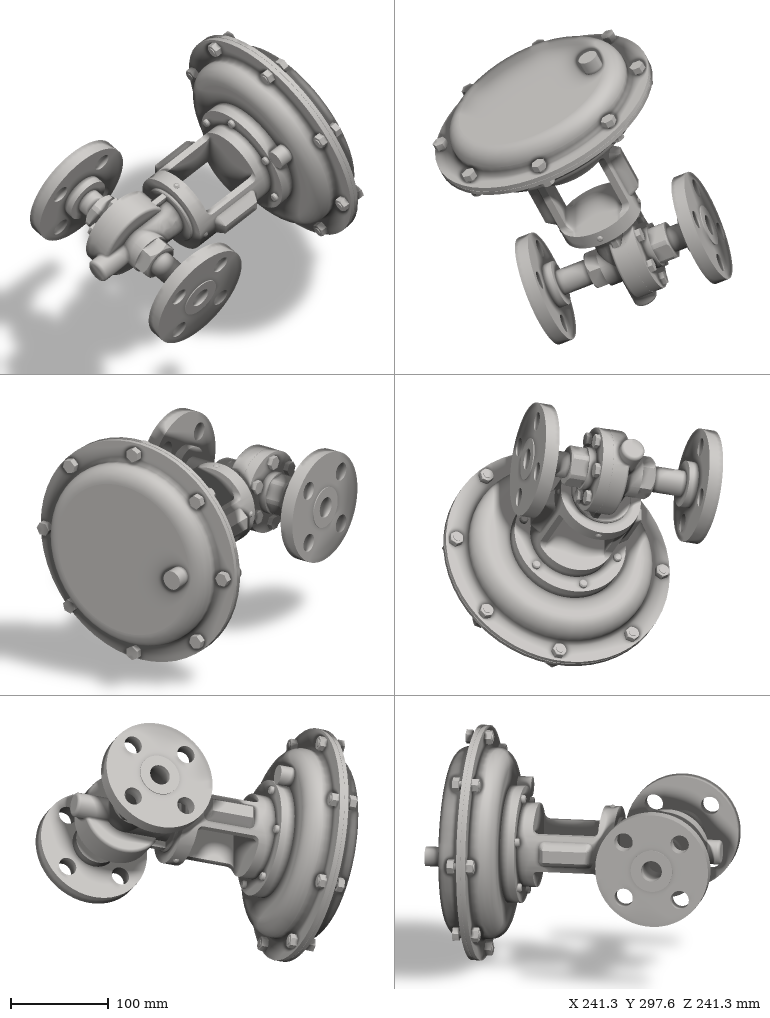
import cadquery as cq
import math


FLANGE_R = 58.65
FLANGE_BACK_X = 80.9
FLANGE_FRONT_X = 95.5
RAISED_FACE_X = 96.5
RAISED_FACE_R = 21.6
HUB_R = 23.8
HUB_X = 71.0
FLANGE_HOLE_R = 9.5
FLANGE_HOLE_CIRCLE_R = 41.2
FLANGE_HOLE_COUNT = 4
PIPE_R = 13.35
PIPE_BORE_R = 10.8

HEX_FLATS = 38.0
UNION_ROUND_R = 20.7
UNION_X = (-54.3, -36.5)
UNION_CHAMFER = 1.6
COLLAR_R = 22.0
COVER_X = (-28.6, -17.1)
COVER_R = 43.2
BODY_R = 43.4
BODY_END_X = 0.8
BODY_EDGE_FILLET = 3.0
TUBE_R = 21.9
OUTLET_HEX_X = (21.7, 36.5)
OUTLET_HEX_CHAMFER = 3.2
COVER_BOLT_COUNT = 6
COVER_BOLT_CIRCLE_R = 33.5
COVER_BOLT_FLATS = 12.7
COVER_BOLT_HEIGHT = 5.3
DRAIN_R = 12.5
DRAIN_END_Y = -55.6
DRAIN_FILLET = 3.2
DRAIN_ROOT_FILLET = 1.9
NOTCH_FLOOR_Y = 31.8
NOTCH_FLOOR_X = -11.5
NOTCH_TOP_Y = 39.0
NOTCH_LIP_Y = 34.9

NECK_HALF_X = 20.4
NECK_BLOCK_X = (-14.7, -4.2)
NECK_BLOCK_HALF_Z = 29.0
NECK_BEVEL_X = -10.0
NECK_BEVEL_HALF_Z = 21.0
BONNET_R = 32.0
BONNET_Y = 47.4
BONNET_CHAMFER = 1.0

YOKE_R = 43.2
YOKE_BOTTOM_Y = 50.3
WINDOW_Y = (66.2, 134.2)
CAVITY_FLOOR_Y = 65.8
CAVITY_HALF_X = 31.6
CAVITY_FILLET = 8.0
LEG_HALF_Z = 19.1
LEG_FILLET = 6.0
PAD_X = 52.5
PAD_ROOT_X = 38.0
PAD_LENGTH = 44.5
PAD_WIDTH = 12.6
PAD_TAPER = 31.0
PAD_CENTER_Y = 99.0
SET_SCREW_Y = 57.5
SET_SCREW_R = 3.3
SET_SCREW_TIP_R = 45.0
SET_SCREW_CHAMFER = 1.6
SET_SCREW_COUNT = 4

HUB_PLATE_R = 60.0
HUB_PLATE_Y = 149.5
CASING_FRONT_Y = 164.1
CASING_MID_Y = 194.0
CASING_HALF_DEPTH = CASING_MID_Y - CASING_FRONT_Y
FRONT_CASING_R = 98.2
REAR_CASING_R = 98.8
CASING_CORNER_R = 16.6
CASING_ROOT_FILLET = 3.8
RIM_R = 120.65
RIM_HALF_THICKNESS = 4.7
DIAPHRAGM_R = 120.2
DIAPHRAGM_THICKNESS = 1.0
FRONT_PORT_R = 10.0
FRONT_PORT_OFFSET = 49.5
REAR_PORT_R = 10.1
REAR_PORT_X = -70.0
REAR_PORT_END_Y = 238.91
HUB_SCREW_COUNT = 6
HUB_SCREW_CIRCLE_R = 52.3
HUB_SCREW_START_ANGLE = 45.0
HUB_SCREW_R = 4.3
HUB_SCREW_HEIGHT = 4.1
HUB_SCREW_CHAMFER = 1.1
RIM_BOLT_COUNT = 8
RIM_BOLT_CIRCLE_R = 111.0
RIM_BOLT_R = 4.0
RIM_BOLT_FLATS = 13.0
RIM_BOLT_HEAD_Y = (202.5, 209.2)
RIM_NUT_Y = (182.1, CASING_MID_Y - RIM_HALF_THICKNESS)
RIM_NUT_CHAMFER = 1.0
RIM_BOLT_TIP_Y = 181.2

OVERLAP = 1.0
HEX_HALF_STEP = 30


def corners(flats):
    """Across-corners size of a hexagon from its across-flats size."""
    return flats / math.cos(math.radians(HEX_HALF_STEP))


def cylinder_x(radius, x0, x1, y=0, z=0):
    return cq.Workplane("YZ", origin=(x0, y, z)).circle(radius).extrude(x1 - x0)


def hexagon_x(flats, x0, x1, y=0, z=0):
    """Hexagonal prism along X with corners toward +Y and -Y."""
    return cq.Workplane("YZ", origin=(x0, y, z)).polygon(6, corners(flats)).extrude(x1 - x0)


def cylinder_y(radius, y0, y1, x=0, z=0):
    return cq.Workplane("XZ", origin=(x, y1, z)).circle(radius).extrude(y1 - y0)


def hexagon_y(flats, y0, y1, x=0, z=0):
    """Hexagonal prism along Y with corners toward +X and -X."""
    return cq.Workplane("XZ", origin=(x, y1, z)).polygon(6, corners(flats)).extrude(y1 - y0)


def polar_x(radius, count, start):
    """(y, z) places on a circle about the X axis."""
    angles = [math.radians(start + 360 * i / count) for i in range(count)]
    return [(radius * math.cos(a), radius * math.sin(a)) for a in angles]


def around_y(piece, count, start):
    """Copies of a piece turned about the Y axis, counter-clockwise seen from -Y."""
    return [piece.rotate((0, 0, 0), (0, 1, 0), -(start + 360 * i / count)) for i in range(count)]


def pipe_flange():
    """Flange with hub and raised face on the +X side."""
    flange = cylinder_x(FLANGE_R, FLANGE_BACK_X, FLANGE_FRONT_X)
    flange = flange.union(cylinder_x(HUB_R, HUB_X, FLANGE_FRONT_X))
    flange = flange.union(cylinder_x(RAISED_FACE_R, FLANGE_BACK_X, RAISED_FACE_X))
    for y, z in polar_x(FLANGE_HOLE_CIRCLE_R, FLANGE_HOLE_COUNT, 180 / FLANGE_HOLE_COUNT):
        flange = flange.cut(cylinder_x(FLANGE_HOLE_R, FLANGE_BACK_X, FLANGE_FRONT_X, y, z))
    return flange


def union_nut():
    """Inlet hexagon whose corners are turned down to a round."""
    x0, x1 = UNION_X
    turned = cylinder_x(UNION_ROUND_R, x0, x1).faces("<X").chamfer(UNION_CHAMFER)
    return hexagon_x(HEX_FLATS, x0, x1).intersect(turned)


def outlet_hexagon():
    x0, x1 = OUTLET_HEX_X
    turned = cylinder_x(corners(HEX_FLATS) / 2, x0, x1).faces(">X").chamfer(OUTLET_HEX_CHAMFER)
    return hexagon_x(HEX_FLATS, x0, x1).intersect(turned)


def body_notch():
    """Clearance cut in the body above its flat floor, with a raised lip at the body's end."""
    lip_x = BODY_END_X - BODY_EDGE_FILLET
    return (
        cq.Workplane("XY")
        .moveTo(COVER_X[1], BODY_R + OVERLAP)
        .lineTo(COVER_X[1], NOTCH_TOP_Y)
        .lineTo(NOTCH_FLOOR_X, NOTCH_FLOOR_Y)
        .lineTo(lip_x, NOTCH_FLOOR_Y)
        .lineTo(lip_x, NOTCH_LIP_Y)
        .lineTo(BODY_END_X, NOTCH_LIP_Y)
        .lineTo(BODY_END_X, BODY_R + OVERLAP)
        .close()
        .extrude(BODY_R, both=True)
    )


def with_drain_boss(body):
    """Adds the closed drain boss on the -Y side, blended into the body around its root."""
    boss = cylinder_y(DRAIN_R, DRAIN_END_Y, 0).faces("<Y").edges().fillet(DRAIN_FILLET)
    root_zone = cq.selectors.BoxSelector(
        (-DRAIN_R - OVERLAP, DRAIN_END_Y + DRAIN_FILLET + OVERLAP, -DRAIN_R - OVERLAP),
        (DRAIN_R + OVERLAP, -OVERLAP, DRAIN_R + OVERLAP),
        boundingbox=True,
    )
    return body.union(boss).edges(root_zone).fillet(DRAIN_ROOT_FILLET)


def neck_block():
    """Upright block on the inlet side of the neck, with two beveled corners."""
    right_x = NECK_BLOCK_X[1]
    left_x = NECK_BLOCK_X[0]
    return (
        cq.Workplane("XZ", origin=(0, BONNET_Y + OVERLAP, 0))
        .moveTo(right_x, NECK_BLOCK_HALF_Z)
        .lineTo(NECK_BEVEL_X, NECK_BLOCK_HALF_Z)
        .lineTo(left_x, NECK_BEVEL_HALF_Z)
        .lineTo(left_x, -NECK_BEVEL_HALF_Z)
        .lineTo(NECK_BEVEL_X, -NECK_BLOCK_HALF_Z)
        .lineTo(right_x, -NECK_BLOCK_HALF_Z)
        .close()
        .extrude(BONNET_Y + OVERLAP - NOTCH_FLOOR_Y + OVERLAP)
    )


def neck():
    """Stem neck: slightly oval and as wide as the outlet tube, backed by the beveled block."""
    height = BONNET_Y + OVERLAP
    start_x = NECK_BLOCK_X[0]
    oval = cq.Workplane("XZ", origin=(0, height, 0)).ellipse(NECK_HALF_X, TUBE_R).extrude(height)
    keep = cq.Workplane("XY").box(
        NECK_HALF_X - start_x, height, 2 * TUBE_R, centered=(False, False, True)
    )
    return oval.intersect(keep.translate((start_x, 0, 0))).union(neck_block())


def valve_body():
    body = cylinder_x(BODY_R, COVER_X[1], BODY_END_X).faces(">X").edges().fillet(BODY_EDGE_FILLET)
    body = body.union(cylinder_x(TUBE_R, COVER_X[1], OUTLET_HEX_X[0]))
    body = with_drain_boss(body)
    body = body.cut(body_notch())
    body = body.union(cylinder_x(COVER_R, *COVER_X))
    body = body.union(cylinder_x(COLLAR_R, UNION_X[1], COVER_X[1]))
    body = body.union(union_nut()).union(outlet_hexagon())
    for y, z in polar_x(COVER_BOLT_CIRCLE_R, COVER_BOLT_COUNT, 180 / COVER_BOLT_COUNT):
        head_x = COVER_X[0] - COVER_BOLT_HEIGHT
        body = body.union(hexagon_x(COVER_BOLT_FLATS, head_x, COVER_X[0] + OVERLAP, y, z))
    return body.union(neck())


def piping():
    """Both pipes and flanges, bored up to the body hexagons."""
    outlet = pipe_flange().union(cylinder_x(PIPE_R, OUTLET_HEX_X[1] - OVERLAP, FLANGE_FRONT_X))
    outlet = outlet.cut(cylinder_x(PIPE_BORE_R, OUTLET_HEX_X[1], RAISED_FACE_X))
    inlet = pipe_flange().mirror("YZ")
    inlet = inlet.union(cylinder_x(PIPE_R, -FLANGE_FRONT_X, UNION_X[0] + OVERLAP))
    inlet = inlet.cut(cylinder_x(PIPE_BORE_R, -RAISED_FACE_X, UNION_X[0]))
    return outlet.union(inlet)


def yoke_cavity():
    """Open space between the two legs, rounded along its floor."""
    height = WINDOW_Y[1] - CAVITY_FLOOR_Y
    return (
        cq.Workplane("XY")
        .center(0, CAVITY_FLOOR_Y + height / 2)
        .rect(2 * CAVITY_HALF_X, height)
        .extrude(YOKE_R, both=True)
        .edges("|Z and <Y")
        .fillet(CAVITY_FILLET)
    )


def leg_side_cut():
    """Removes the +Z side of the yoke outside the legs, rounded where the legs meet the rings."""
    floor_y, roof_y = WINDOW_Y
    return (
        cq.Workplane("XY")
        .box(2 * YOKE_R, roof_y - floor_y, YOKE_R, centered=(True, False, False))
        .edges("|X and <Z")
        .fillet(LEG_FILLET)
        .translate((0, floor_y, LEG_HALF_Z))
    )


def mounting_pad():
    """Tapered pad on the outside of the +X leg."""
    return (
        cq.Workplane("YZ", origin=(PAD_X, PAD_CENTER_Y, 0))
        .rect(PAD_LENGTH, PAD_WIDTH)
        .extrude(PAD_ROOT_X - PAD_X, taper=-PAD_TAPER)
    )


def set_screw():
    return cylinder_x(SET_SCREW_R, CAVITY_HALF_X, SET_SCREW_TIP_R, SET_SCREW_Y).faces(">X").chamfer(
        SET_SCREW_CHAMFER
    )


def yoke():
    frame = cylinder_y(YOKE_R, YOKE_BOTTOM_Y, HUB_PLATE_Y + OVERLAP)
    frame = frame.cut(yoke_cavity())
    frame = frame.cut(leg_side_cut()).cut(leg_side_cut().mirror("XY"))
    frame = frame.union(mounting_pad()).union(mounting_pad().mirror("YZ"))
    bonnet = cylinder_y(BONNET_R, BONNET_Y, YOKE_BOTTOM_Y + OVERLAP)
    frame = frame.union(bonnet.faces("<Y").chamfer(BONNET_CHAMFER))
    for screw in around_y(set_screw(), SET_SCREW_COUNT, 0):
        frame = frame.union(screw)
    return frame


def casing_half(wall_r):
    """Front casing half: a dished cover with a rounded corner and an outward rim, revolved about Y."""
    straight_end = RIM_HALF_THICKNESS + CASING_ROOT_FILLET
    corner_start = CASING_HALF_DEPTH - CASING_CORNER_R
    diagonal = math.sqrt(0.5)
    root_center_r = wall_r + CASING_ROOT_FILLET
    corner_center_r = wall_r - CASING_CORNER_R
    profile = (
        cq.Workplane("XY")
        .lineTo(DIAPHRAGM_R, 0)
        .lineTo(DIAPHRAGM_R, -DIAPHRAGM_THICKNESS / 2)
        .lineTo(RIM_R, -DIAPHRAGM_THICKNESS / 2)
        .lineTo(RIM_R, -RIM_HALF_THICKNESS)
        .lineTo(root_center_r, -RIM_HALF_THICKNESS)
        .threePointArc(
            (
                root_center_r - CASING_ROOT_FILLET * diagonal,
                CASING_ROOT_FILLET * diagonal - straight_end,
            ),
            (wall_r, -straight_end),
        )
        .lineTo(wall_r, -corner_start)
        .threePointArc(
            (
                corner_center_r + CASING_CORNER_R * diagonal,
                -corner_start - CASING_CORNER_R * diagonal,
            ),
            (corner_center_r, -CASING_HALF_DEPTH),
        )
        .lineTo(0, -CASING_HALF_DEPTH)
        .close()
    )
    return profile.revolve(360, (0, 0, 0), (0, 1, 0))


def rim_bolt():
    """Bolt, standing-off head and nut at the +X side of the rim."""
    x = RIM_BOLT_CIRCLE_R
    bolt = cylinder_y(RIM_BOLT_R, RIM_BOLT_TIP_Y, RIM_BOLT_HEAD_Y[1], x)
    bolt = bolt.union(hexagon_y(RIM_BOLT_FLATS, *RIM_BOLT_HEAD_Y, x))
    nut = hexagon_y(RIM_BOLT_FLATS, *RIM_NUT_Y).rotate((0, 0, 0), (0, 1, 0), HEX_HALF_STEP)
    turned = cylinder_y(corners(RIM_BOLT_FLATS) / 2, *RIM_NUT_Y).faces("<Y").chamfer(RIM_NUT_CHAMFER)
    return bolt.union(nut.intersect(turned).translate((x, 0, 0)))


def hub_screw():
    tip_y = HUB_PLATE_Y - HUB_SCREW_HEIGHT
    screw = cylinder_y(HUB_SCREW_R, tip_y, HUB_PLATE_Y + OVERLAP, HUB_SCREW_CIRCLE_R)
    return screw.faces("<Y").chamfer(HUB_SCREW_CHAMFER)


def actuator():
    rear = casing_half(REAR_CASING_R).mirror("XZ")
    unit = casing_half(FRONT_CASING_R).union(rear).translate((0, CASING_MID_Y, 0))
    unit = unit.union(cylinder_y(HUB_PLATE_R, HUB_PLATE_Y, CASING_FRONT_Y + OVERLAP))
    front_port = cylinder_y(
        FRONT_PORT_R, HUB_PLATE_Y, CASING_FRONT_Y + OVERLAP, FRONT_PORT_OFFSET, FRONT_PORT_OFFSET
    )
    unit = unit.union(front_port)
    unit = unit.union(cylinder_y(REAR_PORT_R, CASING_MID_Y, REAR_PORT_END_Y, REAR_PORT_X))
    for bolt in around_y(rim_bolt(), RIM_BOLT_COUNT, 0):
        unit = unit.union(bolt)
    for screw in around_y(hub_screw(), HUB_SCREW_COUNT, HUB_SCREW_START_ANGLE):
        unit = unit.union(screw)
    return unit


result = valve_body().union(piping()).union(yoke()).union(actuator())